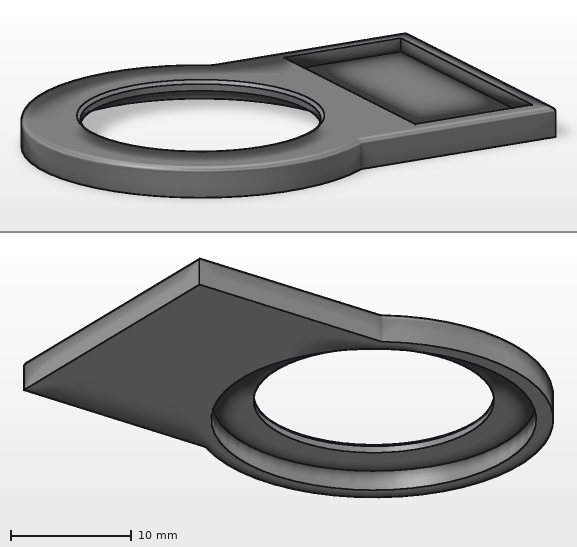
import cadquery as cq
import math

total_length = 41.9
thickness = 2.65
ring_diameter = 29.9
tab_width = 24.95
edge_radius = 0.5
neck_radius = 0.5

recess_width = 22.03
recess_length = 11.22
recess_margin = 1.42
recess_depth = 1.17

hole_diameter = 20.0
hole_chamfer = 0.3

lip_thickness = 0.9
rim_wall = recess_margin
counterbore_diameter = ring_diameter - 2 * rim_wall

tab_end = total_length - ring_diameter / 2
neck_y = math.sqrt((ring_diameter / 2) ** 2 - (tab_width / 2) ** 2)
recess_center_y = tab_end - recess_margin - recess_length / 2


def make_plate():
    """Round ring blank joined to a rectangular tab, with a rounded top rim."""
    ring = cq.Workplane("XY").circle(ring_diameter / 2).extrude(thickness)
    tab = (
        cq.Workplane("XY")
        .center(0, tab_end / 2)
        .rect(tab_width, tab_end)
        .extrude(thickness)
    )
    blank = ring.union(tab)
    for side in (-1, 1):
        corner = (side * tab_width / 2, neck_y, thickness / 2)
        blank = blank.edges(cq.selectors.NearestToPointSelector(corner)).fillet(neck_radius)
    return blank.faces(">Z").edges().fillet(edge_radius)


def make_counterbore():
    """Round hollow under the ring, open at the bottom face."""
    return cq.Workplane("XY").circle(counterbore_diameter / 2).extrude(thickness - lip_thickness)


def make_recess():
    """Rectangular label pocket sunk into the top face."""
    return (
        cq.Workplane("XY")
        .workplane(offset=thickness - recess_depth)
        .center(0, recess_center_y)
        .rect(recess_width, recess_length)
        .extrude(recess_depth)
    )


def make_hole():
    """Through hole with a small chamfer at its top edge."""
    bore = cq.Workplane("XY").circle(hole_diameter / 2).extrude(thickness)
    lead_in = (
        cq.Workplane("XY")
        .workplane(offset=thickness - hole_chamfer)
        .circle(hole_diameter / 2)
        .workplane(offset=hole_chamfer)
        .circle(hole_diameter / 2 + hole_chamfer)
        .loft()
    )
    return bore.union(lead_in)


result = make_plate().cut(make_hole()).cut(make_counterbore()).cut(make_recess())